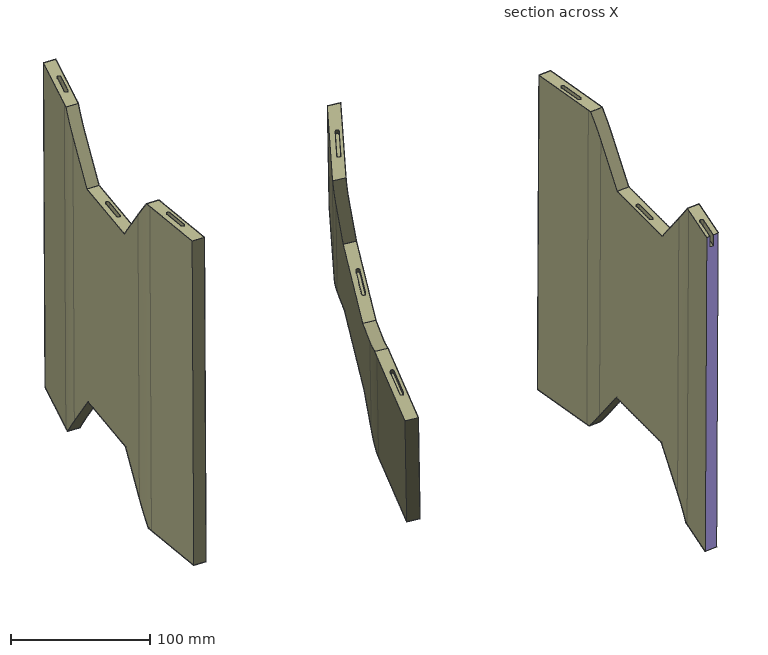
import cadquery as cq
import math

overall_height = 290.0
half_width = 120.0
thickness = 10.0
lean_angle = 0.25

wing_angle = 9.5
flat_half_width = 52.5
wing_start = 69.0
bend_radius = (wing_start - flat_half_width) / math.sin(math.radians(wing_angle))
wing_start_y = bend_radius * (1 - math.cos(math.radians(wing_angle)))


def front_y(x):
    """Y of the wing's front plane at a distance x from the centre."""
    return wing_start_y + (x - wing_start) * math.tan(math.radians(wing_angle))


wing_tip_y = front_y(half_width)
wing_tip_depth = thickness / math.cos(math.radians(wing_angle))
lean = math.radians(lean_angle)
height = (overall_height - (wing_tip_y + wing_tip_depth) * math.sin(lean)) / math.cos(lean)

notch_depth = 50.0
notch_floor_half_width = 30.2
notch_mouth_half_width = 65.0

slot_length = 20.3
slot_width = 3.0
slot_depth = 10.0
slot_offset = 5.8
wing_slot_x = 91.0


def bend_point(radius, angle):
    """Point on a bend arc, turned by an angle from the flat centre panel."""
    angle = math.radians(angle)
    return (
        flat_half_width + radius * math.sin(angle),
        bend_radius - radius * math.cos(angle),
    )


def mirrored(point):
    return (-point[0], point[1])


def make_bent_plate():
    """Plate of constant thickness, bent toward +Y on both sides."""
    back_radius = bend_radius - thickness
    front = [bend_point(bend_radius, a) for a in (0, wing_angle / 2, wing_angle)]
    back = [bend_point(back_radius, a) for a in (0, wing_angle / 2, wing_angle)]
    front_tip = (half_width, wing_tip_y)
    back_tip = (half_width, wing_tip_y + wing_tip_depth)
    outline = (
        cq.Workplane("XY")
        .moveTo(*mirrored(front[0]))
        .lineTo(*front[0])
        .threePointArc(front[1], front[2])
        .lineTo(*front_tip)
        .lineTo(*back_tip)
        .lineTo(*back[2])
        .threePointArc(back[1], back[0])
        .lineTo(*mirrored(back[0]))
        .threePointArc(mirrored(back[1]), mirrored(back[2]))
        .lineTo(*mirrored(back_tip))
        .lineTo(*mirrored(front_tip))
        .lineTo(*mirrored(front[2]))
        .threePointArc(mirrored(front[1]), mirrored(front[0]))
        .close()
    )
    return outline.extrude(height)


def make_notch(edge_z, floor_z):
    """Trapezoidal cutter, widest at the plate's edge."""
    return (
        cq.Workplane("XZ")
        .polyline([
            (-notch_mouth_half_width, edge_z),
            (-notch_floor_half_width, floor_z),
            (notch_floor_half_width, floor_z),
            (notch_mouth_half_width, edge_z),
        ])
        .close()
        .extrude(half_width, both=True)
    )


def make_slot(x, top_z, angle):
    """Rounded slot cutter, in line with the panel that it enters."""
    base_y = front_y(abs(x)) if angle else 0.0
    centre_y = base_y + slot_offset / math.cos(math.radians(angle))
    return (
        cq.Workplane("XY")
        .slot2D(slot_length, slot_width, angle)
        .extrude(-slot_depth)
        .translate((x, centre_y, top_z))
    )


notch_floor_z = height - notch_depth
result = make_bent_plate()
result = result.cut(make_notch(height, notch_floor_z))
result = result.cut(make_notch(0, notch_depth))
result = result.cut(make_slot(0, notch_floor_z, 0))
for side in (-1, 1):
    result = result.cut(make_slot(side * wing_slot_x, height, side * wing_angle))
result = result.rotate((0, 0, 0), (1, 0, 0), lean_angle)